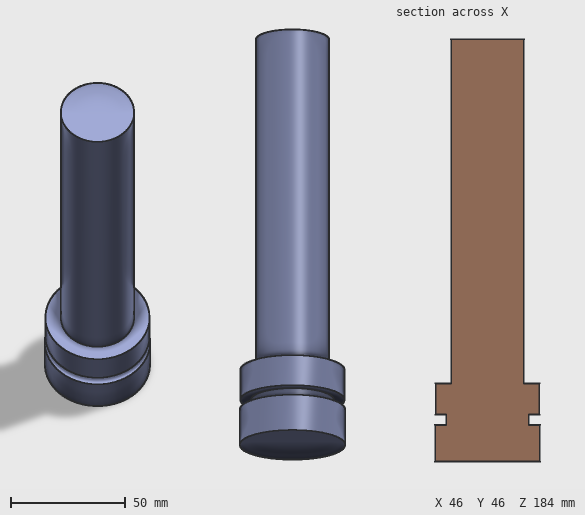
import cadquery as cq

total_height = 184.0
base_height = 16.0
groove_height = 4.5
rod_height = 150.0

base_diameter = 46.0
groove_diameter = 36.0
collar_diameter = 45.5
rod_diameter = 32.0

collar_height = total_height - base_height - groove_height - rod_height


def add_cylinder(body, diameter, height):
    """Stack a concentric cylinder on the top face of the body."""
    return body.faces(">Z").workplane().circle(diameter / 2).extrude(height)


result = cq.Workplane("XY").circle(base_diameter / 2).extrude(base_height)
result = add_cylinder(result, groove_diameter, groove_height)
result = add_cylinder(result, collar_diameter, collar_height)
result = add_cylinder(result, rod_diameter, rod_height)